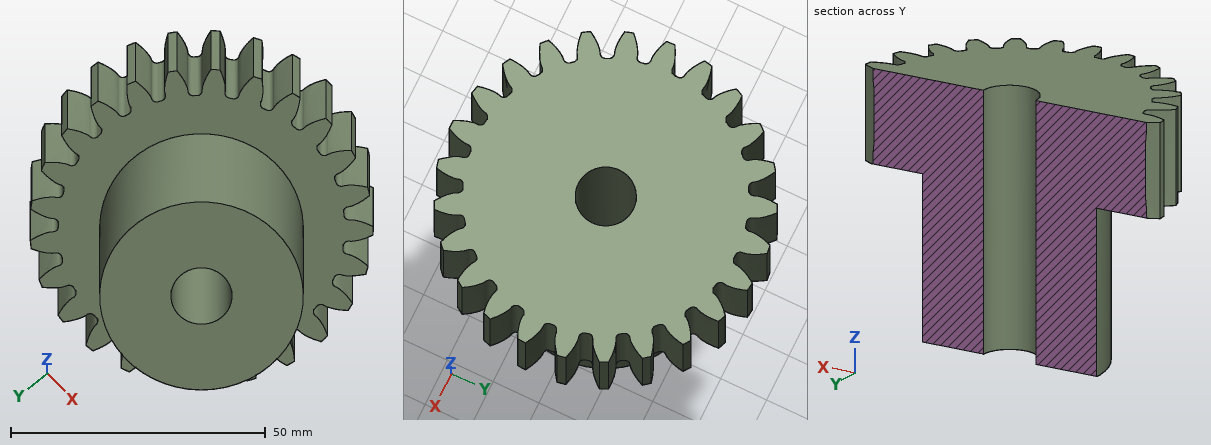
import cadquery as cq
import math

MODULE = 2.5
TOOTH_COUNT = 25
PRESSURE_ANGLE = math.radians(20)
ADDENDUM = MODULE
DEDENDUM = 1.25 * MODULE
ROOT_FILLET = 1.05
GEAR_WIDTH = 20.0
FIRST_TOOTH_ANGLE = math.radians(-90)
FLANK_STEPS = 4

HUB_DIAMETER = 40.0
HUB_LENGTH = 35.0
BORE_DIAMETER = 12.0

PITCH_RADIUS = MODULE * TOOTH_COUNT / 2
BASE_RADIUS = PITCH_RADIUS * math.cos(PRESSURE_ANGLE)
TIP_RADIUS = PITCH_RADIUS + ADDENDUM
ROOT_RADIUS = PITCH_RADIUS - DEDENDUM
TOOTH_PITCH = 2 * math.pi / TOOTH_COUNT
TOTAL_LENGTH = HUB_LENGTH + GEAR_WIDTH
POSITION_TOLERANCE = 0.01


def involute(angle):
    return math.tan(angle) - angle


def polar(radius, angle):
    return (radius * math.cos(angle), radius * math.sin(angle))


def tooth_half_angle(radius):
    """Half the angle a tooth spans at a radius on its involute flank."""
    flank_angle = math.acos(min(1.0, BASE_RADIUS / radius))
    return TOOTH_PITCH / 4 + involute(PRESSURE_ANGLE) - involute(flank_angle)


def gear_outline():
    """Closed outline: radial root flanks, involutes, tip arcs and root arcs."""
    flank_height = TIP_RADIUS - BASE_RADIUS
    flank_radii = [BASE_RADIUS + flank_height * (i / FLANK_STEPS) ** 2 for i in range(FLANK_STEPS + 1)]
    base_half = tooth_half_angle(BASE_RADIUS)
    start = polar(ROOT_RADIUS, FIRST_TOOTH_ANGLE - base_half)
    outline = cq.Workplane("XY").workplane(offset=HUB_LENGTH).moveTo(*start)
    for tooth in range(TOOTH_COUNT):
        centre = FIRST_TOOTH_ANGLE + tooth * TOOTH_PITCH
        rising = [polar(r, centre - tooth_half_angle(r)) for r in flank_radii]
        falling = [polar(r, centre + tooth_half_angle(r)) for r in reversed(flank_radii)]
        gap_centre = centre + TOOTH_PITCH / 2
        next_root = polar(ROOT_RADIUS, centre + TOOTH_PITCH - base_half)
        outline = (
            outline.lineTo(*rising[0])
            .spline(rising[1:], includeCurrent=True)
            .threePointArc(polar(TIP_RADIUS, centre), falling[0])
            .spline(falling[1:], includeCurrent=True)
            .lineTo(*polar(ROOT_RADIUS, centre + base_half))
            .threePointArc(polar(ROOT_RADIUS, gap_centre), next_root)
        )
    return outline.close()


def is_root_corner(edge):
    middle = edge.Center()
    return abs(math.hypot(middle.x, middle.y) - ROOT_RADIUS) < POSITION_TOLERANCE


def make_gear():
    gear = gear_outline().extrude(GEAR_WIDTH)
    root_corners = [edge for edge in gear.edges("|Z").vals() if is_root_corner(edge)]
    return gear.newObject(root_corners).fillet(ROOT_FILLET)


def make_hub():
    return cq.Workplane("XY").circle(HUB_DIAMETER / 2).extrude(HUB_LENGTH)


def make_bore():
    return cq.Workplane("XY").circle(BORE_DIAMETER / 2).extrude(TOTAL_LENGTH)


result = make_hub().union(make_gear()).cut(make_bore())